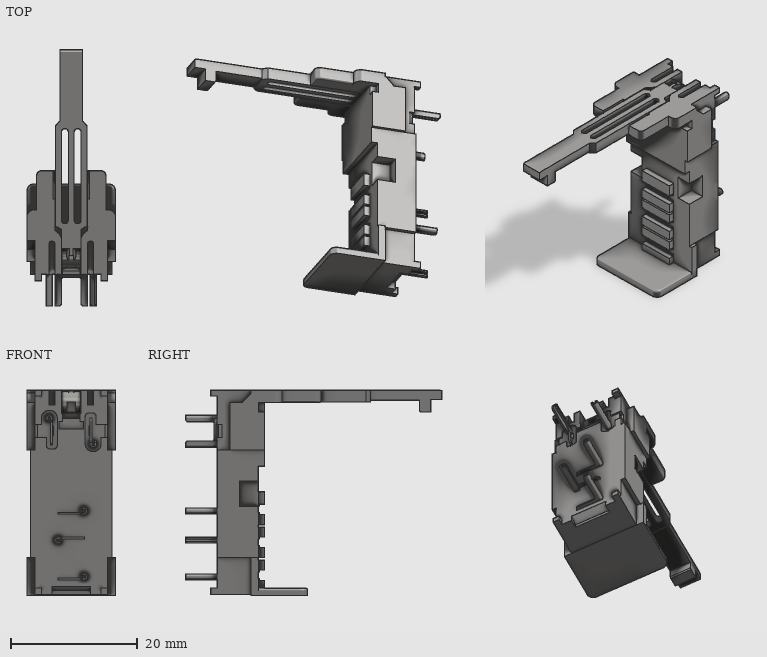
import cadquery as cq


TOP = 32.5
FRONT_HALF = 5.76
BODY_HALF = 6.47
SIDE_HALF = 7.0
BODY_DEPTH = 6.5
BACK_STEP = 1.0
BLOCK_DEPTH = BODY_DEPTH + BACK_STEP
CORE_BOTTOM = 0.15
LOWER_TOP = 6.0
UPPER_BOTTOM = 23.0
BACK_BLOCK_BOTTOM = 20.45
OVERHANG_BOTTOM = 30.5
PAST = 1.0

PLATE_END = 10.2
PLATE_CORNER_R = 1.1
TAB_HALF = 5.5
TAB_END = 16.4
TAB_CORNER_R = 0.85
TAB_EDGE_R = 0.35
SHOULDER_Y = 5.35
SHOULDER_Z = 32.0
SLOPE_END_Y = 3.9
SIDE_FRONT = 2.0
CORNER_NOTCH_BOTTOM = 29.0

BASE_END = 14.3
BASE_THICK = 1.2
BASE_CORNER_R = 1.1
BASE_EDGE_R = 0.4
FOOT_INNER = 4.69
FOOT_LENGTH = 1.03
TOP_FOOT_HEIGHT = 0.95
BOTTOM_FOOT_TOP = 1.25
BASE_NOTCH_HALF = 3.03
BASE_NOTCH_FRONT_Z = 1.43
BASE_NOTCH_BACK_Z = 0.83
BASE_NOTCH_DEPTH = 1.4

RIB_HALF = 3.0
RIB_RANGES = [(1.2, 2.43), (4.03, 5.63), (6.0, 7.65), (9.25, 10.85), (11.2, 12.85), (14.45, 16.45)]
CHANNELS = [(2.43, 4.03), (7.65, 9.25), (12.85, 14.45)]
CHANNEL_STEP_WIDTH = 0.3
CHANNEL_STEP_HEIGHT = 0.15
SIDE_NOTCH_FRONT = 3.5
SIDE_NOTCH_INNER = 4.0
SIDE_NOTCH_BOTTOM = 14.1
SIDE_NOTCH_TOP = 18.1

GROOVE_X = 3.05
GROOVE_WIDTH = 1.0
GROOVE_LENGTH = 5.25
GROOVE_BOTTOM = 30.1

STRIP_THICK = 0.27
TERMINAL_LENGTH = 4.7
HOOK_WIDTH = 0.97
HOOK_LENGTH = 1.07
STRIP_FRONT = -0.53
PIN_END = -5.0
STRIP_END_R = 0.5
BEND_R = 0.2
TIP_CHAMFER = 0.25
POCKET_DEPTH = 0.2
ROOT_DEPTH = 1.0
PAIR_CENTRE_Z = 26.03
UPPER_PIN_X = 3.13
UPPER_PIN_CENTRE_Z = 25.97
UPPER_PIN_START = 2.12
LOWER_PIN_X = 2.1
TERMINALS = [
    (-LOWER_PIN_X, 2.63, 0),
    (LOWER_PIN_X, 9.13, 180),
    (-LOWER_PIN_X, 13.03, 0),
    (-UPPER_PIN_X, UPPER_PIN_CENTRE_Z - UPPER_PIN_START, 90),
    (UPPER_PIN_X, UPPER_PIN_CENTRE_Z + UPPER_PIN_START, -90),
]

POCKET_INNER_X = 2.2
POCKET_WIDE_X = 4.73
POCKET_NARROW_X = 3.93
POCKET_WIDE_END = 3.27
POCKET_NARROW_END = 2.86
POCKET_NARROW_R = 0.6
WINDOW_HALF = 1.0
SIDE_DEEP_X = 5.35
SIDE_DEEP_DEPTH = 0.77
BARB_WIDTH = 0.22
BARB_HALF_HEIGHT = 0.75
BARB_RISE = 0.35

LEVER_END = 35.5
TIP_HALF = 1.8
ARM_HALF = 2.5
STUB_HALF = 1.53
WIDEN_START = 24.25
WIDEN_END = 23.5
ARM_TAPER_START = 7.6
ARM_TAPER_END = 7.1
ARM_BOTTOM = 30.6
TIP_BOTTOM = 30.87
NOSE_BOTTOM = 31.0
HOOK_FRONT = 31.95
HOOK_BACK = 33.75
HOOK_BOTTOM = 29.0
HOOK_CHAMFER = 0.2
TIP_SLOPE_LENGTH = 0.4
TIP_SLOPE_DROP = 0.1
LEVER_SLOT_X = 1.0
LEVER_SLOT_WIDTH = 1.08
LEVER_SLOT_START = 8.0
LEVER_SLOT_END = 23.0
KNUCKLE_Y = 2.95
KNUCKLE_Z = 30.57
KNUCKLE_R = 1.8
KNUCKLE_HALF = 1.48
LEG_FRONT = 2.4
RELIEF_Y = 3.2
RELIEF_Z = 32.2
RELIEF_R = 0.92
WEB_TOP_HALF = 0.27
WEB_BOTTOM_HALF = 0.75
FACE_HOLE_HALF = 0.65
FACE_HOLE_BOTTOM = 29.05
FACE_HOLE_TOP = 30.63
FACE_HOLE_BACK = 2.0

LEVER_GAP = 0.1
SEAT_HALF = ARM_HALF + LEVER_GAP
SEAT_STRAIGHT_END = 7.0
SEAT_KINK = (1.9, 6.4)
SEAT_TAPER_END = 5.7
FLARE_HALF = 2.9
FLARE_START = 11.9
SEAT_BACK = KNUCKLE_Y + KNUCKLE_R
SEAT_BOTTOM = KNUCKLE_Z - KNUCKLE_R
UNDER_HALF = 1.42
UNDER_BACK = LEG_FRONT
UNDER_BOTTOM = 27.97
RECESS_HALF = 1.95
RECESS_DEPTH = 0.52
RECESS_BOTTOM = 26.35
RECESS_TOP = 27.55


def block(x0, x1, y0, y1, z0, z1):
    """Box between two corners."""
    return cq.Workplane("XY").box(x1 - x0, y1 - y0, z1 - z0, centered=False).translate((x0, y0, z0))


def wide_block(half, y0, y1, z0, z1):
    """Box centred on the width."""
    return block(-half, half, y0, y1, z0, z1)


def side_profile(points, half):
    """Outline in Y and Z, extruded evenly to both sides of the middle."""
    return cq.Workplane("YZ").polyline(points).close().extrude(half, both=True)


def plan_profile(points, z0, z1):
    """Outline in X and Y, extruded between two levels."""
    return cq.Workplane("XY").workplane(offset=z0).polyline(points).close().extrude(z1 - z0)


def both_sides(shape):
    """A shape and its mirror image across the middle."""
    return shape.union(shape.mirror("YZ"))


def housing_upper():
    """Side blocks with the sloped shoulders, and the top plate with its tab."""
    sides = side_profile([
        (SIDE_FRONT, UPPER_BOTTOM),
        (SIDE_FRONT, OVERHANG_BOTTOM),
        (SLOPE_END_Y, OVERHANG_BOTTOM),
        (SHOULDER_Y, SHOULDER_Z),
        (SHOULDER_Y, TOP),
        (PLATE_END, TOP),
        (PLATE_END, OVERHANG_BOTTOM),
        (BODY_DEPTH, OVERHANG_BOTTOM),
        (BODY_DEPTH, CORNER_NOTCH_BOTTOM),
        (BLOCK_DEPTH, CORNER_NOTCH_BOTTOM),
        (BLOCK_DEPTH, UPPER_BOTTOM),
    ], SIDE_HALF)
    sides = sides.edges("|Z and >Y").fillet(PLATE_CORNER_R)
    middle = wide_block(FRONT_HALF, BODY_DEPTH, BLOCK_DEPTH, UPPER_BOTTOM, TOP)
    tab = wide_block(TAB_HALF, SHOULDER_Y, TAB_END, OVERHANG_BOTTOM, TOP)
    tab = tab.edges("|Z and >Y").fillet(TAB_CORNER_R)
    tab = tab.faces("<Z").edges("not <Y").fillet(TAB_EDGE_R)
    return sides.union(middle).union(tab)


def housing_base():
    """Lower side strips and the plate that reaches back from the bottom."""
    strips = wide_block(SIDE_HALF, SHOULDER_Y, BODY_DEPTH, 0, LOWER_TOP)
    plate = wide_block(SIDE_HALF, SHOULDER_Y, BASE_END, 0, BASE_THICK)
    plate = plate.edges("|Z and >Y").fillet(BASE_CORNER_R)
    plate = plate.faces(">Z").edges("not <Y").fillet(BASE_EDGE_R)
    return strips.union(plate)


def back_ribs():
    """Raised ribs on the back, with low steps beside the wide channels between them."""
    ribs = cq.Workplane("XY")
    for z0, z1 in RIB_RANGES:
        ribs = ribs.union(wide_block(RIB_HALF, SHOULDER_Y, BLOCK_DEPTH, z0, z1))
    step_back = BODY_DEPTH + CHANNEL_STEP_HEIGHT
    for z0, z1 in CHANNELS:
        ribs = ribs.union(wide_block(RIB_HALF, SHOULDER_Y, step_back, z0, z0 + CHANNEL_STEP_WIDTH))
        ribs = ribs.union(wide_block(RIB_HALF, SHOULDER_Y, step_back, z1 - CHANNEL_STEP_WIDTH, z1))
    return ribs


def feet():
    """Four small feet at the corners of the front face."""
    top_foot = block(FOOT_INNER, FRONT_HALF, -FOOT_LENGTH, PAST, TOP - TOP_FOOT_HEIGHT, TOP)
    bottom_foot = block(FOOT_INNER, FRONT_HALF, -FOOT_LENGTH, PAST, CORE_BOTTOM, BOTTOM_FOOT_TOP)
    return both_sides(top_foot.union(bottom_foot))


def front_grooves():
    """Two round-ended grooves in the top, open at the front."""
    radius = GROOVE_WIDTH / 2
    straight = block(-radius, radius, -PAST, GROOVE_LENGTH - radius, GROOVE_BOTTOM, TOP + PAST)
    end = cq.Workplane("XY").circle(radius).extrude(TOP + PAST - GROOVE_BOTTOM)
    end = end.translate((0, GROOVE_LENGTH - radius, GROOVE_BOTTOM))
    return both_sides(straight.union(end).translate((GROOVE_X, 0, 0)))


def side_notches():
    """Rectangular notches in the back corners of the middle of the body."""
    return both_sides(block(SIDE_NOTCH_INNER, SIDE_HALF, SIDE_NOTCH_FRONT, BODY_DEPTH + PAST,
                            SIDE_NOTCH_BOTTOM, SIDE_NOTCH_TOP))


def base_notch():
    """Notch with a sloped ceiling in the lower front edge."""
    return side_profile([
        (0, BASE_NOTCH_FRONT_Z),
        (BASE_NOTCH_DEPTH, BASE_NOTCH_BACK_Z),
        (BASE_NOTCH_DEPTH, -PAST),
        (-PAST, -PAST),
        (-PAST, BASE_NOTCH_FRONT_Z),
    ], BASE_NOTCH_HALF)


def lever_seat():
    """Space for the lever: tapered slot, flared mouth, knuckle seat and stepped front opening."""
    half_outline = [
        (STUB_HALF, -PAST),
        (STUB_HALF, SEAT_TAPER_END),
        SEAT_KINK,
        (SEAT_HALF, SEAT_STRAIGHT_END),
        (SEAT_HALF, TAB_END + PAST),
    ]
    outline = half_outline + [(-x, y) for x, y in reversed(half_outline)]
    slot = plan_profile(outline, OVERHANG_BOTTOM, TOP + PAST)
    flare = (
        cq.Workplane("XZ", origin=(0, FLARE_START, 0))
        .polyline([
            (-SEAT_HALF, OVERHANG_BOTTOM),
            (SEAT_HALF, OVERHANG_BOTTOM),
            (FLARE_HALF, TOP),
            (-FLARE_HALF, TOP),
        ])
        .close()
        .extrude(-(TAB_END + PAST - FLARE_START))
    )
    knuckle_seat = wide_block(STUB_HALF, -PAST, SEAT_BACK, SEAT_BOTTOM, TOP)
    under = wide_block(UNDER_HALF, -PAST, UNDER_BACK, UNDER_BOTTOM, SEAT_BOTTOM)
    throat = wide_block(UNDER_HALF, -PAST, RECESS_DEPTH, RECESS_BOTTOM, UNDER_BOTTOM)
    recess = wide_block(RECESS_HALF, -PAST, RECESS_DEPTH, RECESS_BOTTOM, RECESS_TOP)
    return slot.union(flare).union(knuckle_seat).union(under).union(throat).union(recess)


def half_turn(shape):
    """A shape on the upper left turned to the upper right."""
    return shape.rotate((0, 0, PAIR_CENTRE_Z), (0, 1, PAIR_CENTRE_Z), 180)


def terminal_pockets():
    """Shallow pockets around the upper terminals, open to the sides of the housing."""
    wide_r = (POCKET_WIDE_X - POCKET_INNER_X) / 2
    wide_x = -(POCKET_WIDE_X + POCKET_INNER_X) / 2
    wide_z = PAIR_CENTRE_Z + POCKET_WIDE_END - wide_r
    narrow_bottom = PAIR_CENTRE_Z - POCKET_NARROW_END
    window = (PAIR_CENTRE_Z - WINDOW_HALF, PAIR_CENTRE_Z + WINDOW_HALF)
    narrow = block(-POCKET_NARROW_X, -POCKET_INNER_X, -PAST, POCKET_DEPTH, narrow_bottom, wide_z)
    narrow = narrow.edges("|Y and <Z").fillet(POCKET_NARROW_R)
    wide = block(-POCKET_WIDE_X, -POCKET_INNER_X, -PAST, POCKET_DEPTH, window[0], wide_z)
    round_end = cq.Workplane("XZ").circle(wide_r).extrude(PAST + POCKET_DEPTH)
    round_end = round_end.translate((wide_x, POCKET_DEPTH, wide_z))
    side = block(-SIDE_HALF, -POCKET_NARROW_X, -PAST, POCKET_DEPTH, *window)
    deep_side = block(-SIDE_HALF, -SIDE_DEEP_X, -PAST, SIDE_DEEP_DEPTH, *window)
    pocket = narrow.union(wide).union(round_end).union(side).union(deep_side)
    return pocket.union(half_turn(pocket))


def terminal():
    """Strip along +X from the origin, with a hooked contact that reaches forward at its end."""
    half = STRIP_THICK / 2
    contact_start = TERMINAL_LENGTH - HOOK_LENGTH
    strip_end = TERMINAL_LENGTH - HOOK_WIDTH / 2
    strip = (
        cq.Workplane("XY", origin=(0, 0, -half))
        .moveTo(0, ROOT_DEPTH)
        .lineTo(0, STRIP_FRONT + STRIP_END_R)
        .radiusArc((STRIP_END_R, STRIP_FRONT), -STRIP_END_R)
        .lineTo(contact_start - BEND_R, STRIP_FRONT)
        .radiusArc((contact_start, STRIP_FRONT - BEND_R), BEND_R)
        .lineTo(contact_start, PIN_END)
        .lineTo(strip_end, PIN_END)
        .lineTo(strip_end, ROOT_DEPTH)
        .close()
        .extrude(STRIP_THICK)
    )
    outer_r = HOOK_WIDTH / 2
    inner_r = outer_r - STRIP_THICK
    hook_axis = outer_r - half
    hook = (
        cq.Workplane("XZ", origin=(0, ROOT_DEPTH, 0))
        .moveTo(strip_end, -half)
        .threePointArc((TERMINAL_LENGTH, hook_axis), (strip_end, hook_axis + outer_r))
        .lineTo(contact_start, hook_axis + outer_r)
        .lineTo(contact_start, hook_axis + inner_r)
        .lineTo(strip_end, hook_axis + inner_r)
        .threePointArc((strip_end + inner_r, hook_axis), (strip_end, half))
        .close()
        .extrude(ROOT_DEPTH - PIN_END)
    )
    tip_corner = plan_profile([
        (contact_start, PIN_END),
        (contact_start + TIP_CHAMFER, PIN_END),
        (contact_start, PIN_END + TIP_CHAMFER),
    ], -HOOK_WIDTH, HOOK_WIDTH)
    return strip.union(hook).cut(tip_corner)


def barbs():
    """Small wedges between the upper strips and their pocket floors."""
    face_x = -UPPER_PIN_X + STRIP_THICK / 2
    barb = plan_profile([
        (face_x, POCKET_DEPTH - BARB_RISE),
        (face_x + BARB_WIDTH, POCKET_DEPTH),
        (face_x, POCKET_DEPTH),
    ], PAIR_CENTRE_Z - BARB_HALF_HEIGHT, PAIR_CENTRE_Z + BARB_HALF_HEIGHT)
    return barb.union(half_turn(barb))


def make_housing():
    """Socket body with its seat for the lever and its five terminals."""
    body = wide_block(FRONT_HALF, 0, BODY_DEPTH, CORE_BOTTOM, TOP)
    body = body.union(wide_block(BODY_HALF, 0, BODY_DEPTH, LOWER_TOP, UPPER_BOTTOM))
    body = body.union(wide_block(BODY_HALF, SHOULDER_Y, BLOCK_DEPTH, BACK_BLOCK_BOTTOM, UPPER_BOTTOM))
    for part in (housing_upper(), housing_base(), back_ribs(), feet()):
        body = body.union(part)
    for cutter in (front_grooves(), side_notches(), base_notch(), lever_seat(), terminal_pockets()):
        body = body.cut(cutter)
    for x, z, turn in TERMINALS:
        body = body.union(terminal().rotate((0, 0, 0), (0, -1, 0), turn).translate((x, 0, z)))
    return body.union(barbs())


def lever_reliefs():
    """Two round-bottomed hollows above the knuckle, leaving a web that widens downwards."""
    bottom = RELIEF_Z - RELIEF_R
    start = RELIEF_Y - RELIEF_R
    end = RELIEF_Y + RELIEF_R
    section = (
        cq.Workplane("XZ", origin=(0, end, 0))
        .polyline([
            (WEB_TOP_HALF, TOP),
            (WEB_BOTTOM_HALF, bottom),
            (ARM_HALF, bottom),
            (ARM_HALF, TOP),
        ])
        .close()
        .extrude(end - start)
    )
    round_bottom = cq.Workplane("YZ").center(RELIEF_Y, RELIEF_Z).circle(RELIEF_R).extrude(ARM_HALF)
    hollow = round_bottom.union(block(0, ARM_HALF, start, end, RELIEF_Z, TOP))
    return both_sides(section.intersect(hollow))


def lever_slots():
    """Two long round-ended slots through the arm."""
    length = LEVER_SLOT_END - LEVER_SLOT_START
    middle = (LEVER_SLOT_END + LEVER_SLOT_START) / 2
    return (
        cq.Workplane("XY", origin=(0, middle, HOOK_BOTTOM))
        .pushPoints([(-LEVER_SLOT_X, 0), (LEVER_SLOT_X, 0)])
        .slot2D(length, LEVER_SLOT_WIDTH, 90)
        .extrude(TOP + PAST - HOOK_BOTTOM)
    )


def make_lever():
    """Arm cut to its plan outline from its side profile, with a round knuckle at the housing end."""
    half_outline = [
        (STUB_HALF, KNUCKLE_Y),
        (STUB_HALF, ARM_TAPER_END),
        (ARM_HALF, ARM_TAPER_START),
        (ARM_HALF, WIDEN_END),
        (TIP_HALF, WIDEN_START),
        (TIP_HALF, LEVER_END),
    ]
    outline = half_outline + [(-x, y) for x, y in reversed(half_outline)]
    side = side_profile([
        (KNUCKLE_Y, TOP),
        (KNUCKLE_Y, ARM_BOTTOM),
        (WIDEN_START, ARM_BOTTOM),
        (WIDEN_START, TIP_BOTTOM),
        (HOOK_FRONT, TIP_BOTTOM),
        (HOOK_FRONT, HOOK_BOTTOM + HOOK_CHAMFER),
        (HOOK_FRONT + HOOK_CHAMFER, HOOK_BOTTOM),
        (HOOK_BACK, HOOK_BOTTOM),
        (HOOK_BACK, NOSE_BOTTOM),
        (LEVER_END, NOSE_BOTTOM),
        (LEVER_END, TOP - TIP_SLOPE_DROP),
        (LEVER_END - TIP_SLOPE_LENGTH, TOP),
    ], ARM_HALF)
    arm = plan_profile(outline, HOOK_BOTTOM - PAST, TOP + PAST).intersect(side)
    knuckle = cq.Workplane("YZ").center(KNUCKLE_Y, KNUCKLE_Z).circle(KNUCKLE_R)
    knuckle = knuckle.extrude(KNUCKLE_HALF, both=True)
    leg = wide_block(UNDER_HALF, LEG_FRONT, SEAT_BACK, SEAT_BOTTOM, KNUCKLE_Z)
    face_hole = wide_block(FACE_HOLE_HALF, 0, FACE_HOLE_BACK, FACE_HOLE_BOTTOM, FACE_HOLE_TOP)
    return arm.union(knuckle).union(leg).cut(lever_reliefs()).cut(lever_slots()).cut(face_hole)


housing = make_housing()
lever = make_lever()

result = cq.Compound.makeCompound([housing.solids().val(), lever.solids().val()])